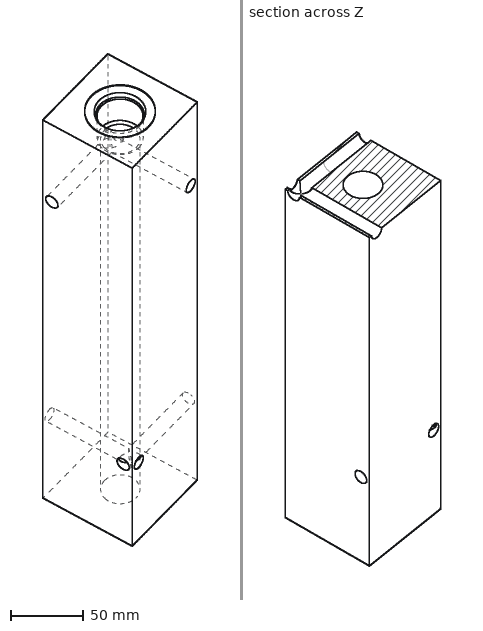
import cadquery as cq
import math

length = 387.5
width = 76.5

spot_diameter = 48.8
spot_depth = 0.8
mouth_diameter = 35.5
throat_diameter = 33.7
mouth_depth = 3.5
port_diameter = 31.8
port_depth = 27.0
bore_diameter = 27.0
drill_point_angle = 118.0

cross_diameter = 10.5
cross_edge_distance = 7.7
cross_end_distance = 79.0

top = length / 2
cross_offset = width / 2 - cross_edge_distance
cross_height = length / 2 - cross_end_distance


def port_and_bore():
    """Solid of revolution that cuts the stepped port and the bore below it."""
    spot_floor = top - spot_depth
    mouth_bottom = spot_floor - mouth_depth
    chamfer_bottom = mouth_bottom - (throat_diameter - port_diameter) / 2
    port_floor = top - port_depth
    shoulder_width = (port_diameter - bore_diameter) / 2
    shoulder_bottom = port_floor - shoulder_width / math.tan(math.radians(drill_point_angle / 2))
    half_profile = [
        (0, top),
        (spot_diameter / 2, top),
        (spot_diameter / 2, spot_floor),
        (mouth_diameter / 2, spot_floor),
        (throat_diameter / 2, mouth_bottom),
        (port_diameter / 2, chamfer_bottom),
        (port_diameter / 2, port_floor),
        (bore_diameter / 2, shoulder_bottom),
        (bore_diameter / 2, -top),
        (0, -top),
    ]
    return cq.Workplane("XZ").polyline(half_profile).close().revolve(360, (0, 0, 0), (0, 1, 0))


def cross_holes(plane, upper_offset):
    """Two cylinders normal to the plane, the upper and lower ones on opposite sides of the bar axis."""
    centres = [(upper_offset, cross_height), (-upper_offset, -cross_height)]
    return cq.Workplane(plane).pushPoints(centres).circle(cross_diameter / 2).extrude(width / 2, both=True)


result = (
    cq.Workplane("XY")
    .box(width, width, length)
    .cut(port_and_bore())
    .cut(cross_holes("XZ", -cross_offset))
    .cut(cross_holes("YZ", cross_offset))
)